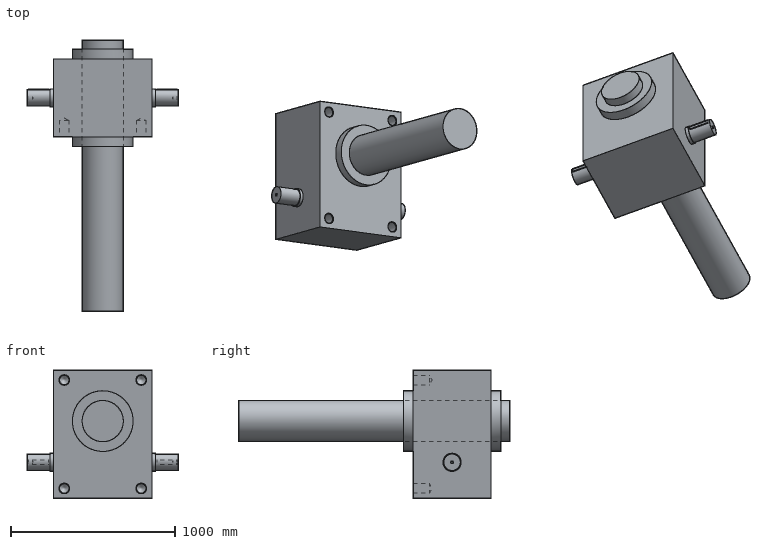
import cadquery as cq
import math


housing_width = 600.0
housing_depth = 475.0
housing_height = 780.0
screw_axis_below_top = 310.0
housing_top = screw_axis_below_top
housing_middle = housing_top - housing_height / 2

collar_diameter = 370.0
collar_length = 60.0

screw_diameter = 250.0
total_length = 1650
screw_back_projection = 55.0
screw_back = housing_depth / 2 + collar_length + screw_back_projection

hole_diameter = 58.0
hole_mouth_diameter = 65.0
hole_depth = 99.0
hole_spacing_x = 469.0
hole_spacing_z = 660.0

drill_tip_angle = 118
hole_mouth_angle = 90

shaft_axis_below_screw = 250.0
shaft_diameter = 100.0
shaft_length = 140.0
shoulder_diameter = 110.0
shoulder_length = 20.0
centre_hole_diameter = 13.9
centre_hole_mouth_diameter = 16.0
centre_hole_depth = 33.0

key_width = 28.0
key_length = 120.0
key_rise = 4.1


def cylinder_along_y(diameter, front, back):
    """A cylinder on the screw axis between two Y positions."""
    return (
        cq.Workplane("XZ", origin=(0, back, 0))
        .circle(diameter / 2)
        .extrude(back - front)
    )


def drilled_hole(diameter, mouth_diameter, depth):
    """The space of a blind hole along the Y axis, its mouth at Y = 0 and its drill tip toward +Y."""
    radius = diameter / 2
    mouth_radius = mouth_diameter / 2
    mouth_depth = (mouth_radius - radius) / math.tan(math.radians(hole_mouth_angle / 2))
    tip_length = radius / math.tan(math.radians(drill_tip_angle / 2))
    return (
        cq.Workplane("XY")
        .moveTo(0, 0)
        .lineTo(mouth_radius, 0)
        .lineTo(radius, mouth_depth)
        .lineTo(radius, depth)
        .lineTo(0, depth + tip_length)
        .close()
        .revolve(360, (0, 0, 0), (0, 1, 0))
    )


def make_housing():
    """The block with its collars, screw bore and mounting holes."""
    collar_face = housing_depth / 2 + collar_length
    body = cq.Workplane("XY", origin=(0, 0, housing_middle)).box(housing_width, housing_depth, housing_height)
    body = body.union(cylinder_along_y(collar_diameter, -collar_face, collar_face))
    body = body.cut(cylinder_along_y(screw_diameter, -collar_face, collar_face))
    mounting_hole = drilled_hole(hole_diameter, hole_mouth_diameter, hole_depth)
    for side_x in (-1, 1):
        for side_z in (-1, 1):
            hole_x = side_x * hole_spacing_x / 2
            hole_z = housing_middle + side_z * hole_spacing_z / 2
            body = body.cut(mounting_hole.translate((hole_x, -housing_depth / 2, hole_z)))
    return body


def make_screw():
    """The plain round screw, passing right through the housing."""
    return cylinder_along_y(screw_diameter, screw_back - total_length, screw_back)


def make_drive_shaft(side):
    """One stepped shaft with its key, standing on the housing side at -X (side -1) or +X (side +1)."""
    outer_end = shoulder_length + shaft_length
    shaft = cq.Workplane("YZ").circle(shoulder_diameter / 2).extrude(shoulder_length)
    shaft = shaft.union(cq.Workplane("YZ").circle(shaft_diameter / 2).extrude(outer_end))

    key_top = shaft_diameter / 2 + key_rise
    key_middle = shoulder_length + shaft_length / 2
    key = cq.Workplane("XY").box(key_length, key_top, key_width).translate((key_middle, key_top / 2, 0))
    shaft = shaft.union(key)

    centre_hole = drilled_hole(centre_hole_diameter, centre_hole_mouth_diameter, centre_hole_depth)
    centre_hole = centre_hole.rotate((0, 0, 0), (0, 0, 1), 90).translate((outer_end, 0, 0))
    shaft = shaft.cut(centre_hole)
    if side < 0:
        shaft = shaft.mirror("YZ")
    return shaft.translate((side * housing_width / 2, 0, -shaft_axis_below_screw))


housing = make_housing()
screw = make_screw()
drive_shafts = [make_drive_shaft(side) for side in (-1, 1)]

result = cq.Compound.makeCompound([housing.val(), screw.val(), *[shaft.val() for shaft in drive_shafts]])